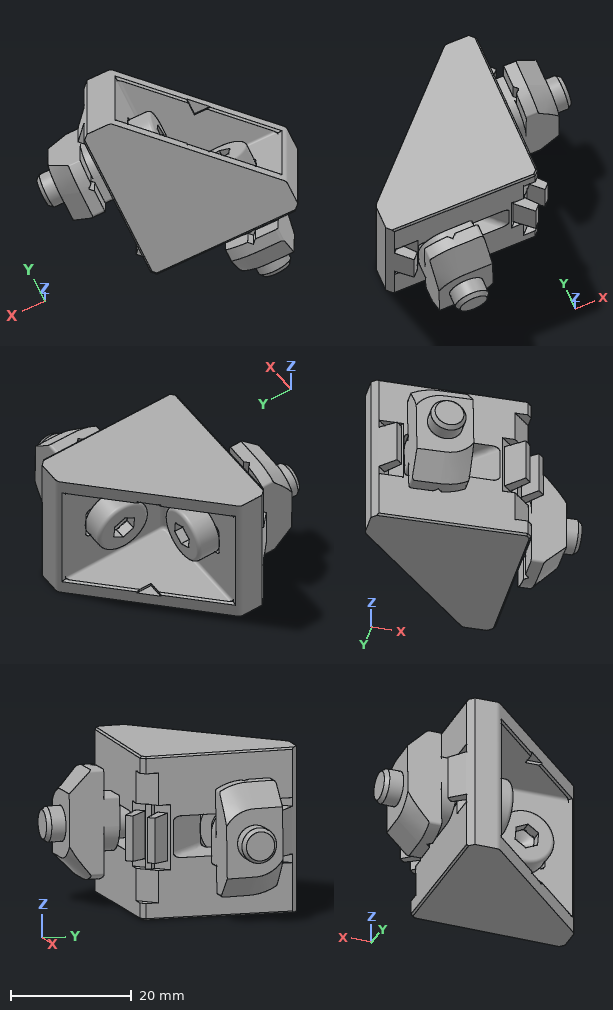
import cadquery as cq
import math

MIRROR_NORMAL = (1, 1, 0)

leg = 27.25
half_height = 14.0
end_face = 5.4
diagonal_distance = (leg + end_face) / math.sqrt(2)
end_chamfer = 1.1
corner_chamfer = 0.8
diagonal_fillet = 1.18
rim_chamfer = 0.3
draft_angle = 0.5
wall = 6.0
pocket_half_height = 11.0
pocket_corner_fillet = 0.98
pocket_floor_fillet = 0.6
lip_half_height = 11.25
lip_depth = 0.47
lip_slope = 30
snap_inset = 14.9
snap_half_height = 11.52

corner_recess_leg = 2.95
corner_recess_half_height = 10.95

groove_depth = 2.1
groove_half_height = 5.5
near_groove_end = 5.05
far_groove_end = leg - end_chamfer
ridge_leg = 3.53
clip_thickness = 1.8
clip_width = 8.08
clip_taper = 3.0
near_clip_length = 4.0
far_clip_length = 3.45

screw_offset = 16.97
slot_half_width = 4.85
slot_near_edge = 5.53
slot_outer_half_height = 3.53
slot_inner_half_height = 3.25
slot_fillet = 0.98
shank_diameter = 6.0
shank_end_diameter = 4.9
shank_end_chamfer = 0.75
shank_reach = 39.2 - leg
head_diameter = 10.0
head_height = 4.1
head_fillet = 0.65
socket_across_flats = 4.0
socket_depth = 2.0
socket_tip_angle = 118
socket_turn = 4.7

nut_turn = 0.8
nut_width = 9.72
stem_half_length = 4.98
stem_round_fillet = 4.82
stem_height = 2.75
nut_radius = 9.55
nut_height = 8.75
nut_bevel = 3.8
nut_square_fillet = 0.5
nut_round_fillet = 0.5
nut_groove_depth = 0.7


def on_both_legs(shape):
    """The shape on the Y = 0 leg together with its mirror image on the X = 0 leg."""
    return shape.union(shape.mirror(MIRROR_NORMAL))


def prism(points, half_depth):
    """Outline in the XY plane extruded evenly to both sides of it."""
    return cq.Workplane("XY").polyline(points).close().extrude(half_depth, both=True)


def sloped_slab(thickness, outer_half_height, slope):
    """Slab just inside the diagonal face whose top and bottom draw in by the slope angle."""
    inner_half_height = outer_half_height - thickness * math.tan(math.radians(slope))
    return (
        cq.Workplane(cq.Plane((0, 0, 0), xDir=(-1, 1, 0), normal=(1, 1, 0)))
        .polyline(
            [
                (diagonal_distance - thickness, inner_half_height),
                (diagonal_distance, outer_half_height),
                (diagonal_distance, -outer_half_height),
                (diagonal_distance - thickness, -inner_half_height),
            ]
        )
        .close()
        .extrude(leg, both=True)
    )


def bracket_block():
    """Triangular block whose top and bottom draw in slightly towards the corner."""
    block = prism(
        [
            (-corner_chamfer, 0),
            (end_chamfer - leg, 0),
            (-leg, end_chamfer),
            (-leg, end_face),
            (-end_face, leg),
            (-end_chamfer, leg),
            (0, leg - end_chamfer),
            (0, corner_chamfer),
        ],
        half_height,
    )
    block = block.faces("<(1, -1, 0)").edges("|Z").fillet(diagonal_fillet)

    block = block.intersect(sloped_slab(diagonal_distance, half_height, draft_angle))
    mating_faces = block.faces(">X or <Y or >(1, -1, 0)")
    return mating_faces.edges("not |Z").chamfer(rim_chamfer)


def mirrored_triangle(inset, half_depth):
    """Right-angled prism inset equally from both mating faces, reaching the diagonal face."""
    far_point = leg + end_face - inset
    return prism([(-inset, inset), (-far_point, inset), (-inset, far_point)], half_depth)


def screw_pocket():
    """Three-cornered pocket, open on the diagonal face with a bevelled lip above and below."""
    pocket = mirrored_triangle(wall, pocket_half_height)
    pocket = pocket.intersect(sloped_slab(diagonal_distance, pocket_half_height, draft_angle))
    pocket = pocket.edges(">(1, -1, 0)").fillet(pocket_corner_fillet)
    pocket = pocket.faces("<Y").edges("not |Z").fillet(pocket_floor_fillet)

    lip = mirrored_triangle(wall, lip_half_height)
    lip = lip.intersect(sloped_slab(lip_depth, lip_half_height, lip_slope))
    return pocket.union(lip)


def snap_notches():
    """V notches in the pocket roof and floor, midway along the diagonal face."""
    return mirrored_triangle(snap_inset, snap_half_height)


def corner_cut(cut_leg, half_depth):
    """Triangular prism that bevels the corner between the mating faces."""
    return prism([(0, 0), (-cut_leg, 0), (0, cut_leg)], half_depth)


def groove(groove_end):
    """V groove across the Y = 0 face, starting at the given distance from the corner."""
    return prism(
        [
            (-groove_end, 0),
            (groove_depth - groove_end, groove_depth),
            (2 * groove_depth - groove_end, 0),
        ],
        groove_half_height,
    )


def clip(groove_end, distance_along_flank, length):
    """Tapered clip standing square on the flank of a groove, out through the Y = 0 face."""
    shift = distance_along_flank / math.sqrt(2)
    base = cq.Plane((shift - groove_end, shift, 0), xDir=(1, 1, 0), normal=(1, -1, 0))
    return cq.Workplane(base).rect(clip_thickness, clip_width).extrude(length, taper=clip_taper)


def screw_slot():
    """Slot through the wall of the Y = 0 leg, sloping outwards to the corner."""
    far_edge = screw_offset + slot_half_width
    inner_near_edge = screw_offset - slot_half_width
    outer_length = far_edge - slot_near_edge
    inner_length = far_edge - inner_near_edge
    slot = (
        cq.Workplane("XZ")
        .center(-slot_near_edge - outer_length / 2, 0)
        .rect(outer_length, 2 * slot_outer_half_height)
        .workplane(offset=-wall)
        .center((outer_length - inner_length) / -2, 0)
        .rect(inner_length, 2 * slot_inner_half_height)
        .loft(ruled=True)
    )
    return slot.edges("not (#Y)").fillet(slot_fillet)


def make_bracket():
    bracket = bracket_block().cut(screw_pocket()).cut(snap_notches())
    bracket = bracket.cut(corner_cut(corner_recess_leg, corner_recess_half_height))
    bracket = bracket.cut(corner_cut(ridge_leg, groove_half_height))

    grooves = groove(near_groove_end).union(groove(far_groove_end))
    bracket = bracket.cut(on_both_legs(grooves)).cut(on_both_legs(screw_slot()))

    near_clip = clip(near_groove_end, groove_depth / math.sqrt(2), near_clip_length)
    far_clip = clip(far_groove_end, clip_thickness / 2, far_clip_length)
    return bracket.union(on_both_legs(near_clip)).union(on_both_legs(far_clip))


def make_screw():
    """Socket head screw along Z, with the mating face at Z = 0 and the head below it."""
    head_top = -wall - head_height
    shank = cq.Workplane("XY").workplane(offset=-wall)
    shank = shank.circle(shank_diameter / 2).extrude(wall + shank_reach)
    shank_inset = (shank_diameter - shank_end_diameter) / 2
    shank = shank.faces(">Z").chamfer(shank_end_chamfer, shank_inset)

    head = cq.Workplane("XY").workplane(offset=head_top)
    head = head.circle(head_diameter / 2).extrude(head_height)
    head = head.faces("<Z").edges().fillet(head_fillet)

    across_corners = socket_across_flats / math.cos(math.radians(30))
    tip_depth = across_corners / 2 / math.tan(math.radians(socket_tip_angle / 2))
    socket = (
        cq.Workplane("XY")
        .workplane(offset=head_top)
        .polygon(6, across_corners)
        .extrude(socket_depth)
        .rotate((0, 0, 0), (0, 0, 1), 90 + socket_turn)
    )
    socket_tip = cq.Workplane(
        cq.Solid.makeCone(
            across_corners / 2, 0, tip_depth, pnt=(0, 0, head_top + socket_depth), dir=(0, 0, 1)
        )
    )
    return head.union(shank).cut(socket).cut(socket_tip)


def arm_profile():
    """Half section of the nut above its stem in the YZ plane, from the axis out to one end."""
    return (
        cq.Workplane("YZ")
        .polyline(
            [
                (0, stem_height),
                (nut_radius, stem_height),
                (nut_radius, nut_height - nut_bevel),
                (nut_radius - nut_bevel, nut_height),
                (0, nut_height),
            ]
        )
        .close()
    )


def nut_underside_groove():
    """V groove in the underside of one arm of the nut, from the stem out to the end."""
    return (
        cq.Workplane("XZ")
        .workplane(offset=-stem_half_length)
        .polyline(
            [
                (-nut_groove_depth, stem_height),
                (0, stem_height + nut_groove_depth),
                (nut_groove_depth, stem_height),
            ]
        )
        .close()
        .extrude(stem_half_length - nut_radius)
    )


def nut_arm():
    """Half of the nut above its stem: a square corner at +X and one rounded about the axis at -X."""
    square_corner = arm_profile().extrude(nut_width / 2)
    square_corner = square_corner.edges(">X and >Y").fillet(nut_square_fillet)
    width_limit = cq.Workplane("XY").box(nut_width, 4 * nut_radius, 4 * nut_height)
    round_corner = arm_profile().revolve(90, (0, 0, 0), (0, 1, 0)).intersect(width_limit)
    round_corner = round_corner.edges("|Z").edges("<X").edges(">Y").fillet(nut_round_fillet)
    return square_corner.union(round_corner).cut(nut_underside_groove())


def nut_stem():
    """Stem of the nut, with its corners rounded and squared like those of the arms."""
    stem = cq.Workplane("XY").rect(nut_width, 2 * stem_half_length).extrude(stem_height)
    stem = stem.edges("(<X and >Y) or (>X and <Y)").fillet(stem_round_fillet)
    return stem.edges("|Z and (>(1, 1, 0) or <(1, 1, 0))").fillet(nut_square_fillet)


def make_nut():
    """T-slot nut along Z, seated on the mating face at Z = 0."""
    arm = nut_arm()
    nut = arm.union(arm.rotate((0, 0, 0), (0, 0, 1), 180)).union(nut_stem())
    nut = nut.cut(cq.Workplane("XY").circle(shank_diameter / 2).extrude(nut_height))
    return nut.rotate((0, 0, 0), (0, 0, 1), nut_turn)


def place_on_leg(part, turn):
    """Point a part outwards from the Y = 0 leg (turn 0) or the X = 0 leg (turn 90)."""
    part = part.rotate((0, 0, 0), (1, 0, 0), 90).rotate((0, 0, 0), (0, 0, 1), turn)
    centre = (-screw_offset, 0, 0) if turn == 0 else (0, screw_offset, 0)
    return part.translate(centre)


bracket = make_bracket()
fasteners = []
for leg_turn in (0, 90):
    fasteners.append(place_on_leg(make_screw(), leg_turn).val())
    fasteners.append(place_on_leg(make_nut(), leg_turn).val())

result = cq.Compound.makeCompound([bracket.val(), *fasteners])